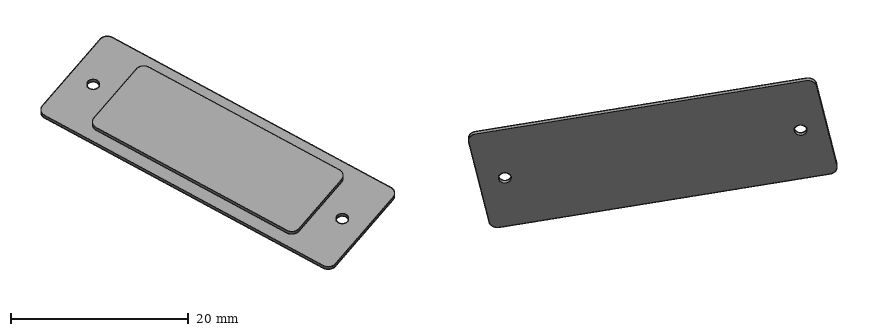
import cadquery as cq

plate_length = 40.0
plate_width = 13.5
total_height = 1.0
plate_thickness = total_height / 2
corner_radius = 1.0

pad_length = 28.0
pad_width = 10.5
pad_height = total_height - plate_thickness

hole_diameter = 1.45
hole_spacing = 34.0


def rounded_slab(length, width, thickness):
    """Flat slab standing on Z = 0 with rounded vertical corners."""
    slab = cq.Workplane("XY").box(length, width, thickness, centered=(True, True, False))
    return slab.edges("|Z").fillet(corner_radius)


plate = rounded_slab(plate_length, plate_width, plate_thickness)
plate = (
    plate.faces(">Z")
    .workplane()
    .pushPoints([(-hole_spacing / 2, 0), (hole_spacing / 2, 0)])
    .hole(hole_diameter)
)

pad = rounded_slab(pad_length, pad_width, pad_height).translate((0, 0, plate_thickness))

result = plate.union(pad)